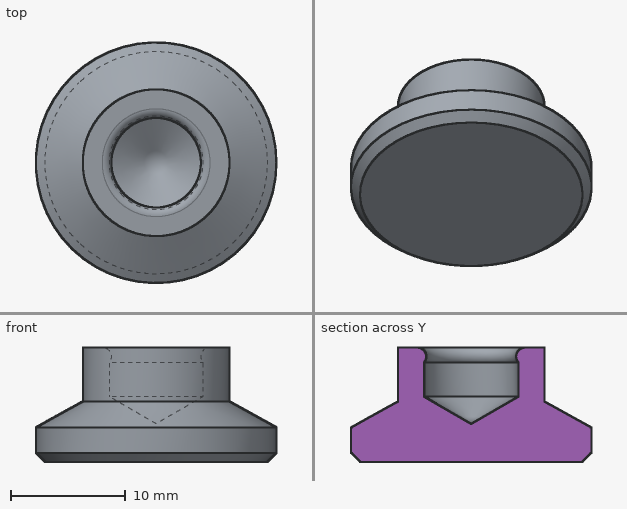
import cadquery as cq
import math

flange_radius = 10.5
total_height = 10.0
base_chamfer = 0.8
rim_top = 3.02
neck_radius = 6.4
neck_height = 4.7
shoulder_top = total_height - neck_height

bore_radius = 4.1
throat_radius = 3.9
mouth_radius = 4.7
lip_round = mouth_radius - throat_radius
lip_center_z = total_height - lip_round
lip_curl = math.sqrt(lip_round**2 - (mouth_radius - bore_radius) ** 2)
bore_depth = 4.28
floor_angle = 30.0
cone_depth = bore_radius * math.tan(math.radians(floor_angle))


def turned_body():
    profile = (
        cq.Workplane("XZ")
        .lineTo(flange_radius - base_chamfer, 0)
        .lineTo(flange_radius, base_chamfer)
        .lineTo(flange_radius, rim_top)
        .lineTo(neck_radius, shoulder_top)
        .lineTo(neck_radius, total_height)
        .lineTo(0, total_height)
        .close()
    )
    return profile.revolve(360, (0, 0, 0), (0, 1, 0))


def bore():
    floor_edge = total_height - bore_depth
    profile = (
        cq.Workplane("XZ")
        .moveTo(0, floor_edge - cone_depth)
        .lineTo(bore_radius, floor_edge)
        .lineTo(bore_radius, lip_center_z - lip_curl)
        .threePointArc((throat_radius, lip_center_z), (mouth_radius, total_height))
        .lineTo(0, total_height)
        .close()
    )
    return profile.revolve(360, (0, 0, 0), (0, 1, 0))


result = turned_body().cut(bore())